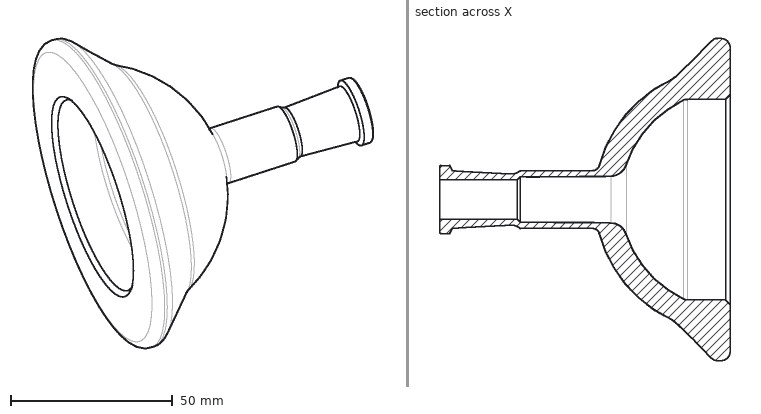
import cadquery as cq
import math

TOTAL_LENGTH = 90.0

RIM_RADIUS = 50.0
RIM_FILLET = 3.0
RIM_CONE_START = 5.1

DOME_RADIUS = 41.0
DOME_CENTER = 1.0
DOME_FOOT_FILLET = 5.0
CAVITY_RADIUS = 34.0
CAVITY_CENTER = 0.0
CAVITY_EDGE_FILLET = 3.0

MOUTH_RADIUS = 31.0
MOUTH_CHAMFER = 1.5

STEM_RADIUS = 9.0
STEM_FOOT_FILLET = 2.0
SHOULDER_END = 66.0
SHOULDER_RADIUS = 8.4
SHOULDER_CHAMFER = 1.0
NECK_START = 67.1
NECK_START_RADIUS = 8.0
NECK_END_RADIUS = 9.0

COLLAR_RADIUS = 10.6
COLLAR_LENGTH = 3.2
COLLAR_UNDERCUT = 0.8
COLLAR_CHAMFER = 0.3

BORE_INLET_RADIUS = 7.2
BORE_SHOULDER_RADIUS = 7.0
BORE_TIP_RADIUS = 6.0
BORE_INLET_FILLET = 5.0


def sphere_station(center, sphere_radius, radius):
    """Station on the axis where a sphere has the given distance from the axis."""
    return center + math.sqrt(sphere_radius**2 - radius**2)


def sphere_midpoint(center, sphere_radius, start_radius, end_radius):
    """Point (radius, station) halfway along a sphere's arc between two radii."""
    angle = (math.acos(start_radius / sphere_radius) + math.acos(end_radius / sphere_radius)) / 2
    return sphere_radius * math.cos(angle), center + sphere_radius * math.sin(angle)


def cone_dome_radius():
    """Radius where the 45 degree rim cone runs into the outer sphere."""
    cone_sum = RIM_RADIUS + RIM_CONE_START - DOME_CENTER
    return (cone_sum + math.sqrt(2 * DOME_RADIUS**2 - cone_sum**2)) / 2


def revolve(profile):
    return profile.close().revolve(360, (0, 0, 0), (0, 1, 0))


def fillet_ring(body, station, radius):
    """Round the circular edge that lies at a station along the axis."""
    return body.edges(cq.selectors.NearestToPointSelector((0, station, 0))).fillet(radius)


def make_outside():
    foot_radius = cone_dome_radius()
    foot = sphere_station(DOME_CENTER, DOME_RADIUS, foot_radius)
    stem_foot = sphere_station(DOME_CENTER, DOME_RADIUS, STEM_RADIUS)
    collar_start = TOTAL_LENGTH - COLLAR_LENGTH
    profile = (
        cq.Workplane("XY")
        .lineTo(RIM_RADIUS, 0)
        .lineTo(RIM_RADIUS, RIM_CONE_START)
        .lineTo(foot_radius, foot)
        .threePointArc(
            sphere_midpoint(DOME_CENTER, DOME_RADIUS, foot_radius, STEM_RADIUS),
            (STEM_RADIUS, stem_foot),
        )
        .lineTo(STEM_RADIUS, SHOULDER_END - SHOULDER_CHAMFER)
        .lineTo(SHOULDER_RADIUS, SHOULDER_END)
        .lineTo(NECK_START_RADIUS, NECK_START)
        .lineTo(NECK_END_RADIUS, collar_start - COLLAR_UNDERCUT)
        .lineTo(COLLAR_RADIUS, collar_start)
        .lineTo(COLLAR_RADIUS, TOTAL_LENGTH - COLLAR_CHAMFER)
        .lineTo(COLLAR_RADIUS - COLLAR_CHAMFER, TOTAL_LENGTH)
        .lineTo(0, TOTAL_LENGTH)
    )
    body = revolve(profile)
    body = fillet_ring(body, foot, DOME_FOOT_FILLET)
    body = fillet_ring(body, stem_foot, STEM_FOOT_FILLET)
    body = fillet_ring(body, RIM_CONE_START, RIM_FILLET)
    return fillet_ring(body, 0, RIM_FILLET)


def make_inside():
    cavity_edge = sphere_station(CAVITY_CENTER, CAVITY_RADIUS, MOUTH_RADIUS)
    bore_inlet = sphere_station(CAVITY_CENTER, CAVITY_RADIUS, BORE_INLET_RADIUS)
    profile = (
        cq.Workplane("XY")
        .lineTo(MOUTH_RADIUS + MOUTH_CHAMFER, 0)
        .lineTo(MOUTH_RADIUS, MOUTH_CHAMFER)
        .lineTo(MOUTH_RADIUS, cavity_edge)
        .threePointArc(
            sphere_midpoint(CAVITY_CENTER, CAVITY_RADIUS, MOUTH_RADIUS, BORE_INLET_RADIUS),
            (BORE_INLET_RADIUS, bore_inlet),
        )
        .lineTo(BORE_SHOULDER_RADIUS, SHOULDER_END - SHOULDER_CHAMFER)
        .lineTo(BORE_TIP_RADIUS, SHOULDER_END)
        .lineTo(BORE_TIP_RADIUS, TOTAL_LENGTH)
        .lineTo(0, TOTAL_LENGTH)
    )
    body = revolve(profile)
    body = fillet_ring(body, cavity_edge, CAVITY_EDGE_FILLET)
    return fillet_ring(body, bore_inlet, BORE_INLET_FILLET)


result = make_outside().cut(make_inside())